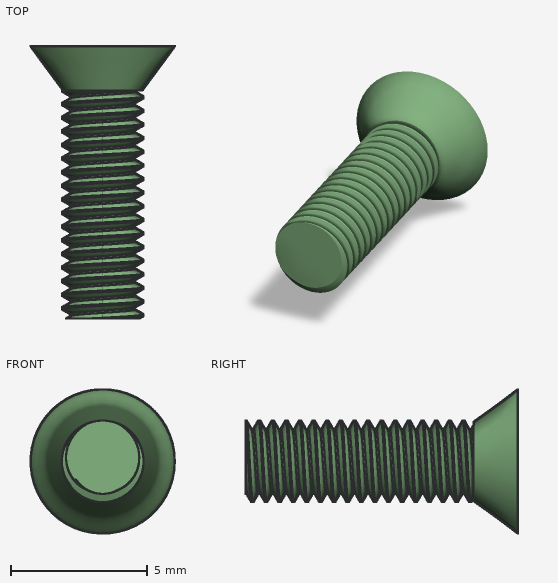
import cadquery as cq
import math

TOTAL_LENGTH = 10.0
HEAD_DIAMETER = 5.3
HEAD_SMALL_DIAMETER = 2.9
HEAD_HEIGHT = 1.63

THREAD_DIAMETER = 3.0
PITCH = 0.5
FLANK_ANGLE = math.radians(30)
CREST_WIDTH = PITCH / 8
ROOT_WIDTH = PITCH / 6
CREST_RADIUS = THREAD_DIAMETER / 2
FLANK_RISE = (PITCH - CREST_WIDTH - ROOT_WIDTH) / 2
THREAD_DEPTH = FLANK_RISE / math.tan(FLANK_ANGLE)
ROOT_RADIUS = CREST_RADIUS - THREAD_DEPTH
SHANK_LENGTH = TOTAL_LENGTH - HEAD_HEIGHT

RUN_OUT = 2 * PITCH
TURNS = math.ceil((SHANK_LENGTH + 2 * RUN_OUT) / PITCH)


def make_head():
    """Cone narrowing from the flat face to the underside where the shank starts."""
    profile = [
        (0, 0),
        (HEAD_DIAMETER / 2, 0),
        (HEAD_SMALL_DIAMETER / 2, -HEAD_HEIGHT),
        (0, -HEAD_HEIGHT),
    ]
    return cq.Workplane("XY").polyline(profile).close().revolve(360, (0, 0, 0), (0, 1, 0))


def helix_edge(radius, height):
    """One turn of the thread helix around Z, starting at this height."""
    return cq.Wire.makeHelix(PITCH, PITCH, radius, cq.Vector(0, 0, height)).Edges()[0]


def end_faces(section, height):
    """Faces that close the thread across one end: a spiral ramp and the flat step it leaves."""
    axis = cq.Edge.makeLine(cq.Vector(0, 0, height), cq.Vector(0, 0, height + PITCH))
    ramp = cq.Face.makeRuledSurface(axis, helix_edge(CREST_RADIUS, height))
    outline = [(0, 0), *section, (0, PITCH)]
    corners = [cq.Vector(radius, 0, height + rise) for radius, rise in outline]
    step = cq.Face.makeFromWires(cq.Wire.makePolygon(corners, close=True))
    return [ramp, step]


def make_long_thread():
    """Solid threaded rod around Z, with a crest on +X at Z = 0, longer than the shank."""
    section = [
        (CREST_RADIUS, 0),
        (CREST_RADIUS, CREST_WIDTH),
        (ROOT_RADIUS, CREST_WIDTH + FLANK_RISE),
        (ROOT_RADIUS, PITCH - FLANK_RISE),
        (CREST_RADIUS, PITCH),
    ]
    start = -RUN_OUT - CREST_WIDTH / 2
    faces = []
    for turn in range(TURNS):
        height = start + turn * PITCH
        for (low_radius, low_rise), (high_radius, high_rise) in zip(section, section[1:]):
            low = helix_edge(low_radius, height + low_rise)
            high = helix_edge(high_radius, height + high_rise)
            faces.append(cq.Face.makeRuledSurface(low, high))
    faces += end_faces(section, start)
    faces += end_faces(section, start + TURNS * PITCH)
    return cq.Workplane(cq.Solid.makeSolid(cq.Shell.makeShell(faces)))


def make_shank():
    """Threaded rod cut flat at both ends and laid along Y below the head."""
    block = cq.Workplane("XY").rect(2 * THREAD_DIAMETER, 2 * THREAD_DIAMETER).extrude(SHANK_LENGTH)
    shank = block.intersect(make_long_thread(), clean=False)

    shank = shank.rotate((0, 0, 0), (0, 0, 1), -90)
    shank = shank.rotate((0, 0, 0), (1, 0, 0), -90)
    return shank.translate((0, -TOTAL_LENGTH, 0))


head = make_head()
shank = make_shank()
result = cq.Compound.makeCompound([head.val(), *shank.solids().vals()])